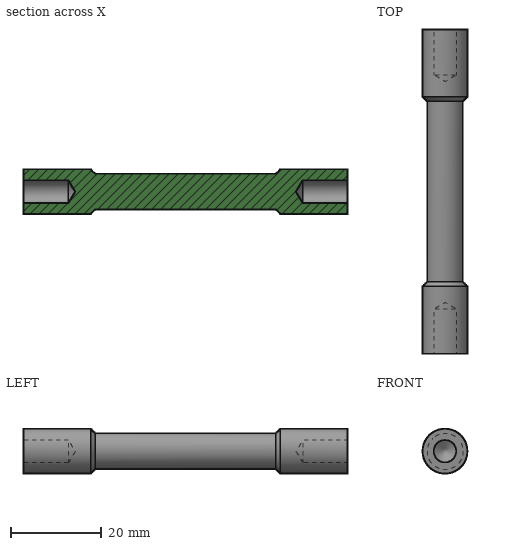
import cadquery as cq
import math

length = 72.0
end_diameter = 10.0
shaft_diameter = 8.0
end_length = 15.0
hole_diameter = 5.0
hole_depth = 10.0
drill_point_angle = 118.0

end_radius = end_diameter / 2
shaft_radius = shaft_diameter / 2
hole_radius = hole_diameter / 2
half_length = length / 2
shoulder = half_length - end_length
taper_length = end_radius - shaft_radius
hole_floor = half_length - hole_depth
hole_tip = hole_floor - hole_radius / math.tan(math.radians(drill_point_angle / 2))


def revolve_about_y(points):
    """Turn a closed (radius, Y) outline about the Y axis."""
    return cq.Workplane("XY").polyline(points).close().revolve(360, (0, 0), (0, 1))


def rod():
    """Slim shaft with a thicker, tapered-shouldered cylinder at each end."""
    return revolve_about_y([
        (0, -half_length),
        (end_radius, -half_length),
        (end_radius, -shoulder),
        (shaft_radius, -shoulder + taper_length),
        (shaft_radius, shoulder - taper_length),
        (end_radius, shoulder),
        (end_radius, half_length),
        (0, half_length),
    ])


def drilled_hole(side):
    """Blind hole with a conical bottom; side is -1 or 1 along Y."""
    return revolve_about_y([
        (0, side * half_length),
        (hole_radius, side * half_length),
        (hole_radius, side * hole_floor),
        (0, side * hole_tip),
    ])


result = rod()
for side in (-1, 1):
    result = result.cut(drilled_hole(side))